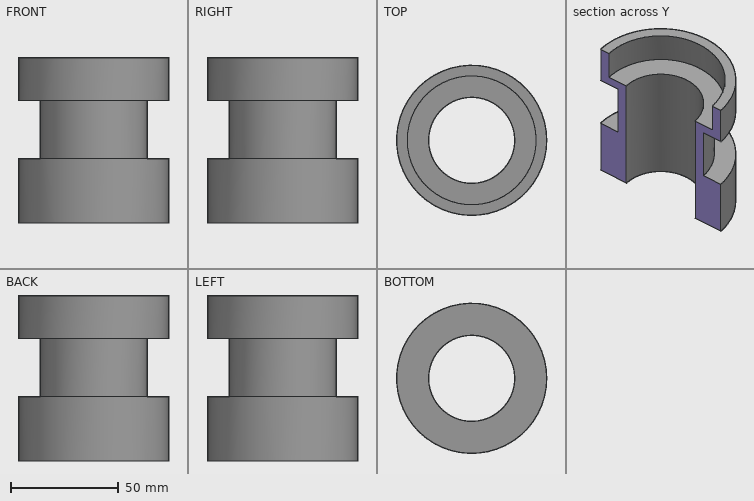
import cadquery as cq

total_height = 77.0
flange_diameter = 70.0
neck_diameter = 50.0
bore_diameter = 40.0

top_flange_height = 20.0
bottom_flange_height = 30.0
neck_height = total_height - top_flange_height - bottom_flange_height

recess_diameter = 60.0
recess_depth = 15.0

body = (
    cq.Workplane("XY")
    .circle(flange_diameter / 2)
    .extrude(bottom_flange_height)
    .faces(">Z")
    .workplane()
    .circle(neck_diameter / 2)
    .extrude(neck_height)
    .faces(">Z")
    .workplane()
    .circle(flange_diameter / 2)
    .extrude(top_flange_height)
)

result = body.faces(">Z").workplane().cboreHole(bore_diameter, recess_diameter, recess_depth)